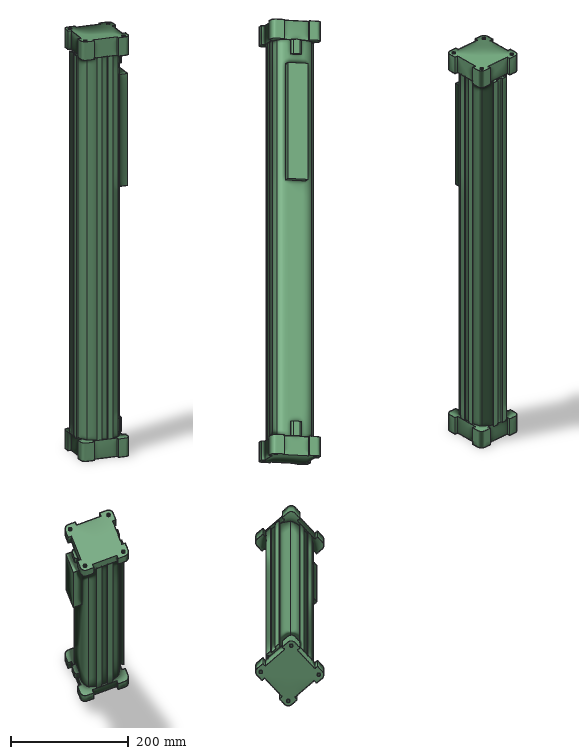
import cadquery as cq
import math

LENGTH = 750.0
CAP_SIZE = 87.0
CAP_HALF = CAP_SIZE / 2
OVERALL_DEPTH = 93.0

CAP_LENGTH = 33.0
SCREW_SPACING = 70.0
SCREW_OFFSET = SCREW_SPACING / 2
CAP_CORNER_RADIUS = CAP_HALF - SCREW_OFFSET
NOTCH_WIDTH = 44.0
NOTCH_DEPTH = 6.0
SCREW_HOLE_DIAMETER = 4.95
SCREW_HOLE_DEPTH = 15.0
COUNTERBORE_DIAMETER = 6.0
COUNTERBORE_DEPTH = 1.5

PAD_LENGTH = 25.0
PAD_WIDTH = 18.0
PAD_CHAMFER = 3.0
PAD_TOP = 43.0

PROFILE_LENGTH = LENGTH - 2 * CAP_LENGTH
SIDE_FACE = CAP_HALF - NOTCH_DEPTH
FRONT_FACE = CAP_HALF
BACK_FACE = 34.5
RAIL_HALF_WIDTH = 15.0
SIDE_RAIL_HEIGHT = 3.0
FRONT_RAIL_HEIGHT = 4.5
RAIL_FLANK_ANGLE = 30.0
SIDE_SLOPE_ANGLE = 17.5
FACET_START = 25.5
FACET_END = 29.0
FACET_ANGLE = 33.0
SHOULDER_START = 27.0
SHOULDER_DIAMETER = 50.0
SHOULDER_RADIUS = SHOULDER_DIAMETER / 2
SLOT_WIDTH = 10.5
SLOT_DEPTH = 3.0

CARRIAGE_WIDTH = 35.0
CARRIAGE_TOP = 300.0
CARRIAGE_LENGTH = 200.0
CARRIAGE_BACK = OVERALL_DEPTH - CAP_HALF
CARRIAGE_SEAT = 33.0


def slope(angle):
    """Sideways shift per unit of length for a line leaning by an angle in degrees."""
    return math.tan(math.radians(angle))


def lean_inwards(start, angle, y_end):
    """Where a line from start, leaning towards X = 0 by angle off the Y axis, reaches y_end."""
    x_start, y_start = start
    return (x_start - abs(y_end - y_start) * slope(angle), y_end)


def mirrored(point):
    return (-point[0], point[1])


def make_cap():
    """End cap for the lower end, with its stop pad standing on the cap's inner face."""
    bottom = cq.Workplane("XY", origin=(0, 0, -LENGTH / 2))
    cap = (
        bottom.rect(CAP_SIZE, CAP_SIZE)
        .extrude(CAP_LENGTH)
        .edges("|Z")
        .fillet(CAP_CORNER_RADIUS)
    )
    notches = (
        bottom.pushPoints([(CAP_HALF, 0), (-CAP_HALF, 0)])
        .rect(2 * NOTCH_DEPTH, NOTCH_WIDTH)
        .pushPoints([(0, CAP_HALF), (0, -CAP_HALF)])
        .rect(NOTCH_WIDTH, 2 * NOTCH_DEPTH)
        .extrude(CAP_LENGTH)
    )
    screw_places = bottom.rect(SCREW_SPACING, SCREW_SPACING, forConstruction=True).vertices()
    screw_holes = screw_places.circle(SCREW_HOLE_DIAMETER / 2).extrude(SCREW_HOLE_DEPTH)
    counterbores = screw_places.circle(COUNTERBORE_DIAMETER / 2).extrude(COUNTERBORE_DEPTH)
    return cap.cut(notches).cut(screw_holes).cut(counterbores).union(make_stop_pad())


def make_stop_pad():
    """Pad with two chamfered edges that rests on the back face of the profile."""
    pad_height = PAD_TOP - BACK_FACE
    return (
        cq.Workplane("XY", origin=(0, BACK_FACE + pad_height / 2, -PROFILE_LENGTH / 2))
        .rect(PAD_WIDTH, pad_height)
        .extrude(PAD_LENGTH)
        .edges("|Z and >Y")
        .chamfer(PAD_CHAMFER)
    )


def make_extrusion():
    """Bar with dovetail rails on the sides and front, and large rounded back shoulders."""
    side_root_x = SIDE_FACE - SIDE_RAIL_HEIGHT
    side_root_y = RAIL_HALF_WIDTH - SIDE_RAIL_HEIGHT * slope(RAIL_FLANK_ANGLE)
    side_root = (side_root_x, -side_root_y)
    facet_start = lean_inwards(side_root, SIDE_SLOPE_ANGLE, -FACET_START)
    facet_end = lean_inwards(facet_start, FACET_ANGLE, -FACET_END)
    front_root_x = RAIL_HALF_WIDTH - FRONT_RAIL_HEIGHT * slope(RAIL_FLANK_ANGLE)
    front_root_y = FRONT_RAIL_HEIGHT - FRONT_FACE
    front_half = [
        (RAIL_HALF_WIDTH, -FRONT_FACE),
        (front_root_x, front_root_y),
        facet_end,
        facet_start,
        side_root,
        (SIDE_FACE, -RAIL_HALF_WIDTH),
        (SIDE_FACE, RAIL_HALF_WIDTH),
        (side_root_x, side_root_y),
    ]

    shoulder_start = lean_inwards((side_root_x, side_root_y), SIDE_SLOPE_ANGLE, SHOULDER_START)
    arc_angle = math.acos(1 - (BACK_FACE - SHOULDER_START) / SHOULDER_RADIUS)
    shoulder_end = (shoulder_start[0] - SHOULDER_RADIUS * math.sin(arc_angle), BACK_FACE)
    shoulder_middle = (
        shoulder_end[0] + SHOULDER_RADIUS * math.sin(arc_angle / 2),
        BACK_FACE - SHOULDER_RADIUS * (1 - math.cos(arc_angle / 2)),
    )

    return (
        cq.Workplane("XY", origin=(0, 0, -PROFILE_LENGTH / 2))
        .polyline(front_half + [shoulder_start])
        .threePointArc(shoulder_middle, shoulder_end)
        .lineTo(*mirrored(shoulder_end))
        .threePointArc(mirrored(shoulder_middle), mirrored(shoulder_start))
        .polyline([mirrored(point) for point in reversed(front_half)], includeCurrent=True)
        .close()
        .extrude(PROFILE_LENGTH)
    )


def make_slots():
    """Shallow slots along the middle of the front rail and both side rails."""
    return (
        cq.Workplane("XY", origin=(0, 0, -PROFILE_LENGTH / 2))
        .pushPoints([(-SIDE_FACE, 0), (SIDE_FACE, 0)])
        .rect(2 * SLOT_DEPTH, SLOT_WIDTH)
        .pushPoints([(0, -FRONT_FACE)])
        .rect(SLOT_WIDTH, 2 * SLOT_DEPTH)
        .extrude(PROFILE_LENGTH)
    )


def make_carriage():
    """Block whose base sinks just past the shoulder arcs into the flat back of the profile."""
    carriage_height = CARRIAGE_BACK - CARRIAGE_SEAT
    centre = (0, CARRIAGE_SEAT + carriage_height / 2, CARRIAGE_TOP - CARRIAGE_LENGTH / 2)
    return cq.Workplane("XY").box(CARRIAGE_WIDTH, carriage_height, CARRIAGE_LENGTH).translate(centre)


caps = []
for end_turn in (0, 180):
    caps.append(make_cap().rotate((0, 0, 0), (0, 1, 0), end_turn))

profile = make_extrusion().cut(make_slots()).union(make_carriage())

result = cq.Compound.makeCompound([profile.val(), *[cap.val() for cap in caps]])